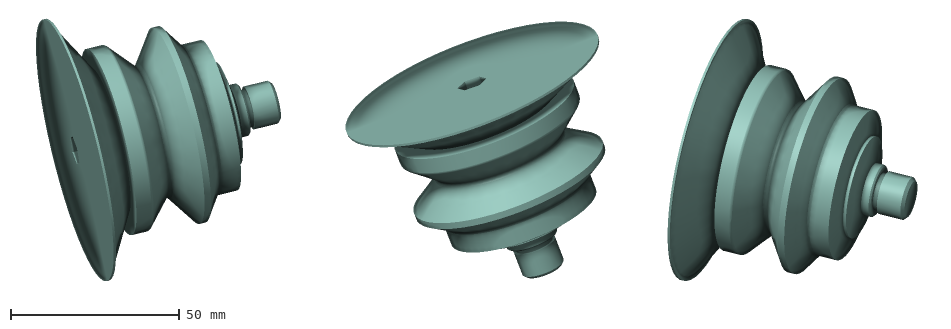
import cadquery as cq
import math


lip_radius = 80 / 2
lip_cone_radius = 38.9
collar_radius = 57.0 / 2
collar_inner_radius = 22.5
waist_radius = 19.7
fold_radius = 60 / 2
body_radius = 46.0 / 2
step_radius = 31.2 / 2
boss_radius = 16 / 2
neck_radius = 11.4 / 2
stud_radius = 13.1 / 2

overhang = 0.2

lip_top = 0.7
collar_bottom = 10.6
collar_top = 15.7
waist_level = 23.7
fold_bottom = 31.2
fold_top = 33.2
body_bottom = 38.2
body_top = 44.6
step_bottom = 46.5
step_top = 47.4
boss_bottom = 49.4
boss_top = 52.2
stud_bottom = 53.8
stud_top = 62.2

bellows_fillet = 1.0
boss_chamfer = 0.5
stud_chamfer = 1.0
socket_flats = 8.0
socket_depth = 10.0


def turned_body():
    """Revolve the half profile, given as (radius, y) points, about the Y axis."""
    profile = [
        (0, 0),
        (lip_radius, 0),
        (lip_radius, lip_top),
        (lip_cone_radius, lip_top),
        (collar_inner_radius, collar_bottom),
        (collar_radius, collar_bottom),
        (collar_radius, collar_top),
        (waist_radius, waist_level),
        (fold_radius, fold_bottom),
        (fold_radius, fold_top),
        (body_radius, body_bottom),
        (body_radius, body_top),
        (step_radius - overhang, step_bottom),
        (step_radius, step_bottom),
        (step_radius, step_top),
        (boss_radius - overhang, boss_bottom),
        (boss_radius, boss_bottom),
        (boss_radius, boss_top - boss_chamfer),
        (boss_radius - boss_chamfer, boss_top),
        (neck_radius, boss_top),
        (neck_radius, stud_bottom),
        (stud_radius, stud_bottom),
        (stud_radius, stud_top - stud_chamfer),
        (stud_radius - stud_chamfer, stud_top),
        (0, stud_top),
    ]
    return cq.Workplane("XY").polyline(profile).close().revolve(360, (0, 0, 0), (0, 1, 0))


def circle_at(radius, level):
    """Select the circular edge of the given radius at the given y."""
    margin = 0.1
    return cq.selectors.BoxSelector(
        (-radius - margin, level - margin, -radius - margin),
        (radius + margin, level + margin, radius + margin),
        boundingbox=True,
    )


def round_bellows(body):
    """Round the collar rim, the waist and the corner under the upper body."""
    corners = [
        (collar_radius, collar_top),
        (waist_radius, waist_level),
        (body_radius, body_bottom),
    ]
    for radius, level in corners:
        body = body.edges(circle_at(radius, level)).fillet(bellows_fillet)
    return body


def hex_socket():
    """Blind hexagonal socket from the lip face, with two corners on the X axis."""
    across_corners = socket_flats / math.cos(math.pi / 6)
    return cq.Workplane("XZ").polygon(6, across_corners).extrude(-socket_depth)


result = round_bellows(turned_body()).cut(hex_socket())